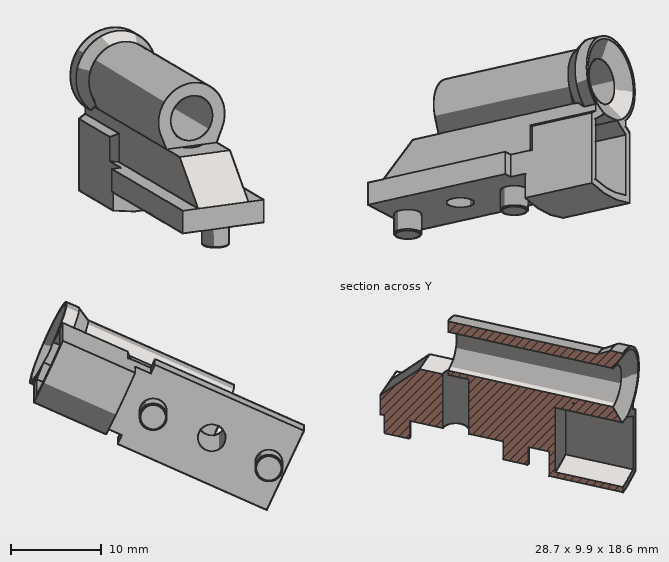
import cadquery as cq
import math

length = 28.7
height = 18.65

rim_radius = 4.9
barrel_radius = 4.05
bore_radius = 2.55
funnel_mouth_radius = 4.55
funnel_depth = 1.18
rim_length = 1.5
taper_end = 2 * rim_length
barrel_length = 20.65
barrel_axis_z = height - rim_radius

block_half_width = 3.07
block_top = 10.55

wall = 0.77
socket_half_width = block_half_width + wall
socket_length = 8.75
socket_side_top = 8.67
socket_shoulder_z = 9.15
socket_side_bottom = 0.43
keel_half_width = 1.25
upper_socket_length = 8.6

cavity_depth = socket_length - wall
cavity_roof_z = 9.33
cavity_roof_half_width = 1.25
cavity_side_top = 8.2
cavity_side_bottom = 1.12
cavity_floor_half_width = 0.9

plate_start = 10.65
plate_width = 9.9
plate_bottom = 3.27
plate_top = 5.88
pin_radius = 1.52
pin_bottom = 0.85
pin_chamfer = 0.15
pin_positions = (12.69, 26.7)
hole_radius = 1.52
hole_x = 19.77


def box_between(x_range, half_width, z_range):
    """Box centred on Y = 0 between two X and two Z values."""
    x_min, x_max = x_range
    z_min, z_max = z_range
    return (
        cq.Workplane("XY")
        .box(x_max - x_min, 2 * half_width, z_max - z_min, centered=(False, True, False))
        .translate((x_min, 0, z_min))
    )


def symmetric_prism(half_outline, x_start, x_end):
    """Extrude along X a section given by the (y, z) points of its +Y half."""
    mirrored = [(-y, z) for y, z in reversed(half_outline)]
    return (
        cq.Workplane("YZ", origin=(x_start, 0, 0))
        .polyline(half_outline + mirrored)
        .close()
        .extrude(x_end - x_start)
    )


def revolve_on_barrel_axis(profile):
    """Revolve (x, radius) points about the barrel axis."""
    return (
        cq.Workplane("XZ", origin=(0, 0, barrel_axis_z))
        .polyline(profile)
        .close()
        .revolve(360, (0, 0, 0), (1, 0, 0))
    )


def make_barrel():
    return revolve_on_barrel_axis([
        (0, 0),
        (0, rim_radius),
        (rim_length, rim_radius),
        (taper_end, barrel_radius),
        (barrel_length, barrel_radius),
        (barrel_length, 0),
    ])


def make_bore():
    return revolve_on_barrel_axis([
        (0, 0),
        (0, funnel_mouth_radius),
        (funnel_depth, bore_radius),
        (barrel_length, bore_radius),
        (barrel_length, 0),
    ])


def make_saddle():
    """Neck whose sides run from the block's top edges tangent to the barrel."""
    drop = barrel_axis_z - block_top
    edge_distance = math.hypot(block_half_width, drop)
    tangent_angle = math.acos(barrel_radius / edge_distance) - math.atan2(drop, block_half_width)
    tangent_y = barrel_radius * math.cos(tangent_angle)
    tangent_z = barrel_axis_z + barrel_radius * math.sin(tangent_angle)
    return symmetric_prism(
        [(block_half_width, block_top), (tangent_y, tangent_z)], taper_end, barrel_length
    )


def make_block():
    """Carrying block with a 45 degree slope down to the far end of the plate."""
    slope_start = length - (block_top - plate_top)
    return (
        cq.Workplane("XZ")
        .polyline([(0, plate_top), (length, plate_top), (slope_start, block_top), (0, block_top)])
        .close()
        .extrude(block_half_width, both=True)
    )


def make_socket():
    """Outer shape of the socket, with its upper rear corners cut at 45 degrees."""
    socket = symmetric_prism(
        [
            (keel_half_width, 0),
            (socket_half_width, socket_side_bottom),
            (socket_half_width, socket_side_top),
            (block_half_width, socket_shoulder_z),
        ],
        0,
        socket_length,
    )
    corner_start = upper_socket_length - wall
    upper_plan = (
        cq.Workplane("XY", origin=(0, 0, plate_top))
        .polyline([
            (0, -socket_half_width),
            (corner_start, -socket_half_width),
            (upper_socket_length, -block_half_width),
            (upper_socket_length, block_half_width),
            (corner_start, socket_half_width),
            (0, socket_half_width),
        ])
        .close()
        .extrude(socket_shoulder_z - plate_top)
    )
    lower_part = box_between((0, socket_length), socket_half_width, (0, plate_top))
    return socket.intersect(lower_part.union(upper_plan))


def make_cavity():
    return symmetric_prism(
        [
            (cavity_floor_half_width, wall),
            (block_half_width, cavity_side_bottom),
            (block_half_width, cavity_side_top),
            (cavity_roof_half_width, cavity_roof_z),
        ],
        0,
        cavity_depth,
    )


def make_hole():
    """Vertical hole through the plate and the block, ending at the block's top."""
    return (
        cq.Workplane("XY", origin=(hole_x, 0, plate_bottom))
        .circle(hole_radius)
        .extrude(block_top - plate_bottom)
    )


def make_base_plate():
    plate = box_between((plate_start, length), plate_width / 2, (plate_bottom, plate_top))
    for pin_x in pin_positions:
        pin = (
            cq.Workplane("XY", origin=(pin_x, 0, pin_bottom))
            .circle(pin_radius)
            .extrude(plate_bottom - pin_bottom)
            .faces("<Z")
            .chamfer(pin_chamfer)
        )
        plate = plate.union(pin)
    return plate


def make_holder():
    bridge = box_between((0, plate_start), socket_half_width, (plate_bottom, plate_top))
    lower_part = make_block().union(bridge).union(make_socket()).union(make_base_plate())
    outer = lower_part.union(make_saddle()).union(make_barrel())
    return outer.cut(make_bore()).cut(make_cavity()).cut(make_hole())


holder = make_holder()

result = cq.Compound.makeCompound([*holder.solids().vals()])